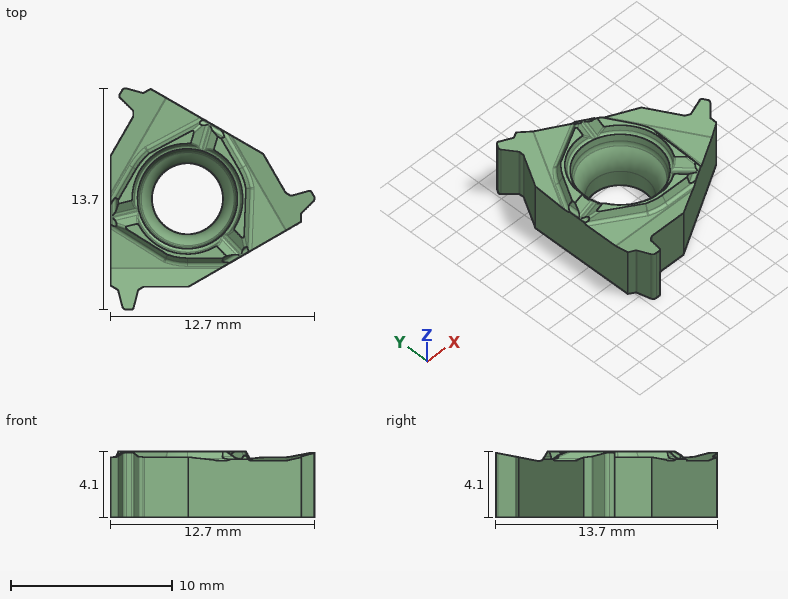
import cadquery as cq
import math

TOP_Z = 4.1
FLOOR_Z = 3.52
ARM_COUNT = 3
ARM_STEP = 360.0 / ARM_COUNT
FRONT = 270.0
FLANK_DISTANCE = 4.77
TRIM_DISTANCE = 5.47
REACH = 9.62

TIP_DISTANCE = 6.89
TOOTH_X = -3.68
TOOTH_FOOT_DISTANCE = 5.66
TOOTH_FOOT_HALF = 0.63
TOOTH_SIDE_ANGLE = 14.5
FOOT_BEVEL_ANGLE = 31.0
TIP_RADII = (0.26, 0.16)
FOOT_RADIUS = 0.07
BEVEL_END_RADIUS = 0.14

RAKE_START = 4.3
RAKE_ANGLE = 11.0
RAKE_BLEND = 0.03

BOSS_RADIUS = 3.68
BOSS_SIDE_DISTANCE = 3.6
BOSS_SIDE_ANGLE = 32.0
BOSS_DRAFT = 30.0
BOSS_ROOT_RADIUS = 0.29

CORNER_WALL_DISTANCE = 4.29
CORNER_FLOOR_Z = 3.63
CORNER_DRAFT = 25.0
CORNER_ROOT_RADIUS = 0.28

GROOVE_ANGLE = 193.7
GROOVE_FLOOR_Z = 3.63
GROOVE_START = 2.75
GROOVE_STEEP_SIDE = (-0.14, -0.72, 0.25)
GROOVE_SHALLOW_SIDE = (0.14, 0.77, 0.36)

GROOVE_RIM_RADIUS = 0.11
GROOVE_WALL_RADIUS = 0.15
EDGE_SPOT_Z = TOP_Z - 0.14
SLANTING_WALL_SPOT = (4.45, 0.66, EDGE_SPOT_Z)
STEEP_RIM_SPOT = (3.33, -0.54, EDGE_SPOT_Z)
SHALLOW_RIM_SPOT = (3.31, 0.55, EDGE_SPOT_Z)

BORE_RADIUS = 2.2
BOWL_BOTTOM_Z = 1.28
BOWL_TOP = (2.89, 2.85)
SEAT_WALL_BOTTOM = (3.0, 3.18)
SEAT_WALL_TOP = (3.11, 3.63)
RIM_WALL_BOTTOM = (3.31, 3.8)
RIM_RADIUS = 3.44
BLEND_SAG = 0.02


def tan(degrees):
    return math.tan(math.radians(degrees))


def polar(radius, degrees):
    angle = math.radians(degrees)
    return (radius * math.cos(angle), radius * math.sin(angle))


def turned(point, degrees):
    """Rotate a plan point about the part axis."""
    return polar(math.hypot(*point), degrees + math.degrees(math.atan2(point[1], point[0])))


def turns():
    return [index * ARM_STEP for index in range(ARM_COUNT)]


def three_copies(shape):
    """The shape repeated about the part axis, as a list."""
    return [shape.rotate((0, 0, 0), (0, 0, 1), turn) for turn in turns()]


def tooth_tip_half():
    return TOOTH_FOOT_HALF - (TIP_DISTANCE - TOOTH_FOOT_DISTANCE) * tan(TOOTH_SIDE_ANGLE)


def tooth_feet():
    return [(TOOTH_X + side * TOOTH_FOOT_HALF, -TOOTH_FOOT_DISTANCE) for side in (-1, 1)]


def tooth_tips():
    return [(TOOTH_X + side * tooth_tip_half(), -TIP_DISTANCE) for side in (-1, 1)]


def bevel_end():
    """Plan corner where the tooth's right foot bevel meets the trimmed side."""
    right_foot_x = TOOTH_X + TOOTH_FOOT_HALF
    run = (TOOTH_FOOT_DISTANCE - TRIM_DISTANCE) / tan(FOOT_BEVEL_ANGLE)
    return (right_foot_x + run, -TRIM_DISTANCE)


def arm_outline():
    """Lower arm, from the flank on its left round to the next flank."""
    left_foot, right_foot = tooth_feet()
    left_tip, right_tip = tooth_tips()
    flank_end_y = left_foot[1] + (left_foot[0] + FLANK_DISTANCE) * tan(FOOT_BEVEL_ANGLE)
    arm_corner_x = 2 * FLANK_DISTANCE - TRIM_DISTANCE * math.sqrt(3)
    return [
        (-FLANK_DISTANCE, flank_end_y),
        left_foot,
        left_tip,
        right_tip,
        right_foot,
        bevel_end(),
        (arm_corner_x, -TRIM_DISTANCE),
    ]


def fillet_corners(solid, corners, radius):
    """Round the upright edges that stand on the given plan corners of every arm."""
    for corner in corners:
        for turn in turns():
            x, y = turned(corner, turn)
            solid = solid.edges(cq.selectors.NearestToPointSelector((x, y, TOP_Z / 2))).fillet(radius)
    return solid


def make_blank():
    points = [turned(point, turn) for turn in turns() for point in arm_outline()]
    blank = cq.Workplane("XY").polyline(points).close().extrude(TOP_Z)
    for tip, radius in zip(tooth_tips(), TIP_RADII):
        blank = fillet_corners(blank, [tip], radius)
    blank = fillet_corners(blank, tooth_feet(), FOOT_RADIUS)
    return fillet_corners(blank, [bevel_end()], BEVEL_END_RADIUS)


def boss_outline():
    """Top outline of the boss: straight edge, rounded part and slanting edge, three times."""
    side_normal = FRONT - BOSS_SIDE_ANGLE
    side_start = side_normal + math.degrees(math.acos(BOSS_SIDE_DISTANCE / BOSS_RADIUS))
    next_front = FRONT - ARM_STEP
    spread = math.radians(side_normal - next_front)
    along = (BOSS_RADIUS - BOSS_SIDE_DISTANCE * math.cos(spread)) / math.sin(spread)
    normal_x, normal_y = polar(1.0, side_normal)
    corner = (
        BOSS_SIDE_DISTANCE * normal_x + along * normal_y,
        BOSS_SIDE_DISTANCE * normal_y - along * normal_x,
    )
    outline = cq.Workplane("XY", origin=(0, 0, TOP_Z)).moveTo(0, -BOSS_RADIUS)
    for index in range(ARM_COUNT):
        turn = -index * ARM_STEP
        outline = outline.threePointArc(
            polar(BOSS_RADIUS, turn + (FRONT + side_start) / 2),
            polar(BOSS_RADIUS, turn + side_start),
        )
        outline = outline.lineTo(*turned(corner, turn))
        outline = outline.lineTo(*polar(BOSS_RADIUS, turn + next_front))
    return outline.close()


def make_boss_block():
    """Floor slab with the drafted boss on it and a rounded root between them."""
    slab = cq.Workplane("XY").circle(REACH).extrude(FLOOR_Z)
    boss = boss_outline().extrude(FLOOR_Z - TOP_Z, taper=-BOSS_DRAFT)
    block = slab.union(boss)
    inside = 0.9 * REACH
    root = cq.selectors.BoxSelector(
        (-inside, -inside, FLOOR_Z - 0.01), (inside, inside, FLOOR_Z + 0.01), boundingbox=True
    )
    return block.edges(root).fillet(BOSS_ROOT_RADIUS)


def make_rake():
    """Wedge that lifts the lower arm towards its tooth."""
    rise = (REACH - RAKE_START) * tan(RAKE_ANGLE)
    blend_radius = RAKE_BLEND / tan(RAKE_ANGLE / 2)
    profile = [(-RAKE_START, FLOOR_Z), (-REACH, FLOOR_Z + rise), (-REACH, 0), (0, 0), (0, FLOOR_Z)]
    wedge = cq.Workplane("YZ").polyline(profile).close().extrude(REACH, both=True)
    start = cq.selectors.NearestToPointSelector((0, -RAKE_START, FLOOR_Z))
    return wedge.edges(start).fillet(blend_radius)


def make_corner_trim():
    """Cutter that leaves a drafted wall and a narrow flat along the left flank."""
    height = TOP_Z - CORNER_FLOOR_Z
    wall_foot = -CORNER_WALL_DISTANCE - height * tan(CORNER_DRAFT)
    profile = [
        (-REACH, TOP_Z),
        (-CORNER_WALL_DISTANCE, TOP_Z),
        (wall_foot, CORNER_FLOOR_Z),
        (-REACH, CORNER_FLOOR_Z),
    ]
    length = FLANK_DISTANCE
    cutter = cq.Workplane("XZ").polyline(profile).close().extrude(length / 2, both=True)
    root = cq.selectors.NearestToPointSelector((wall_foot, 0, CORNER_FLOOR_Z))
    return cutter.edges(root).fillet(CORNER_ROOT_RADIUS)


def make_groove():
    """Radial groove with a narrow floor and two unequal sloping sides."""
    steep_floor, steep_top, steep_radius = GROOVE_STEEP_SIDE
    shallow_floor, shallow_top, shallow_radius = GROOVE_SHALLOW_SIDE
    profile = [
        (steep_top, TOP_Z),
        (steep_floor, GROOVE_FLOOR_Z),
        (shallow_floor, GROOVE_FLOOR_Z),
        (shallow_top, TOP_Z),
    ]
    groove = cq.Workplane("YZ", origin=(GROOVE_START, 0, 0)).polyline(profile).close().extrude(REACH)
    middle = GROOVE_START + REACH / 2
    for offset, radius in ((steep_floor, steep_radius), (shallow_floor, shallow_radius)):
        corner = cq.selectors.NearestToPointSelector((middle, offset, GROOVE_FLOOR_Z))
        groove = groove.edges(corner).fillet(radius)
    return groove.rotate((0, 0, 0), (0, 0, 1), GROOVE_ANGLE)


def make_screw_seat():
    """Bore, curved bowl, steep seat wall and rounded rim, turned about the axis."""
    rise = BOWL_TOP[1] - BOWL_BOTTOM_Z
    spread = BOWL_TOP[0] - BORE_RADIUS
    bowl_radius = (rise**2 + spread**2) / (2 * spread)
    half_sweep = math.asin(rise / bowl_radius) / 2
    bowl_middle = (
        BORE_RADIUS + bowl_radius * (1 - math.cos(half_sweep)),
        BOWL_BOTTOM_Z + bowl_radius * math.sin(half_sweep),
    )
    return (
        cq.Workplane("XZ")
        .moveTo(0, TOP_Z)
        .lineTo(RIM_RADIUS, TOP_Z)
        .lineTo(*RIM_WALL_BOTTOM)
        .tangentArcPoint(SEAT_WALL_TOP, relative=False)
        .lineTo(*SEAT_WALL_BOTTOM)
        .sagittaArc(BOWL_TOP, BLEND_SAG)
        .threePointArc(bowl_middle, (BORE_RADIUS, BOWL_BOTTOM_Z))
        .lineTo(BORE_RADIUS, 0)
        .lineTo(0, 0)
        .close()
        .revolve(360, (0, 0), (0, 1))
    )


def fillet_groove_edges(solid, spots, radius):
    """Round the edges nearest to the given groove spots, on every groove."""
    edges = []
    for turn in turns():
        for along, offset, z in spots:
            place = turned((along, offset), GROOVE_ANGLE + turn) + (z,)
            edges.append(solid.edges(cq.selectors.NearestToPointSelector(place)).val())
    return solid.newObject(edges).fillet(radius)


body = make_boss_block()
for cutter in three_copies(make_corner_trim()) + three_copies(make_groove()):
    body = body.cut(cutter)
for rake in three_copies(make_rake()):
    body = body.union(rake)
body = body.intersect(make_blank()).cut(make_screw_seat())

body = fillet_groove_edges(body, [SLANTING_WALL_SPOT], GROOVE_WALL_RADIUS)
result = fillet_groove_edges(body, [STEEP_RIM_SPOT, SHALLOW_RIM_SPOT], GROOVE_RIM_RADIUS)